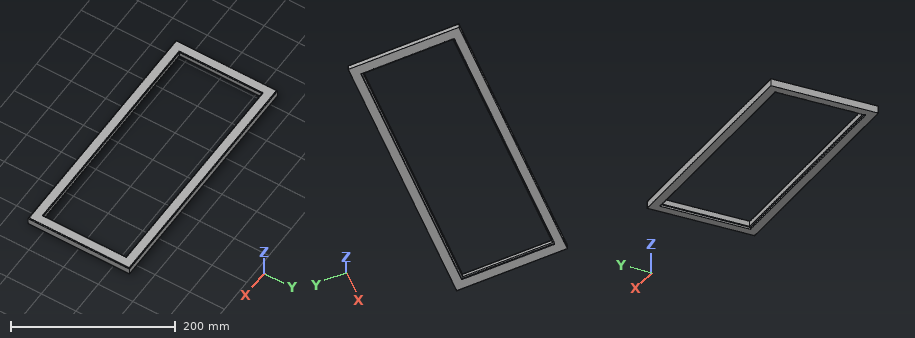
import cadquery as cq


length = 332.3
width = 146.5
height = 10.5

opening_length = 304.7
border = (length - opening_length) / 2
opening_width = width - 2 * border

edge_chamfer = 1.0

rebate_depth = 2.0
rebate_height = 2.5


def make_frame():
    """Flat frame standing on the XY plane, centred on the origin."""
    frame = (
        cq.Workplane("XY")
        .rect(length, width)
        .rect(opening_length, opening_width)
        .extrude(height)
    )
    return frame.faces(">Z").edges().chamfer(edge_chamfer)


def make_rebate():
    """Block that widens the lower end of the opening on all four sides."""
    return cq.Workplane("XY").box(
        opening_length + 2 * rebate_depth,
        opening_width + 2 * rebate_depth,
        rebate_height,
        centered=(True, True, False),
    )


result = make_frame().cut(make_rebate())